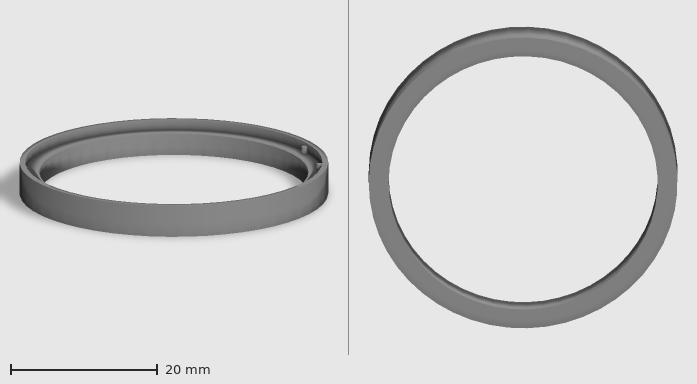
import cadquery as cq

outer_diameter = 42
recess_diameter = 40.4
bore_diameter = 36.6
ring_height = 4.4
ledge_height = 3.0

pin_diameter = 0.85
pin_height = 1.0
pin_circle_radius = 19.82
pin_angles = (30, 55)


def make_ring():
    """Stepped ring: a bore through the ledge and a wider recess above it."""
    ring = cq.Workplane("XY").circle(outer_diameter / 2).circle(bore_diameter / 2).extrude(ring_height)
    recess = (
        cq.Workplane("XY")
        .workplane(offset=ledge_height)
        .circle(recess_diameter / 2)
        .extrude(ring_height - ledge_height)
    )
    return ring.cut(recess)


def make_pin(angle):
    """Upright pin rooted at the bottom of the ring so that it fuses with the ledge."""
    return (
        cq.Workplane("XY")
        .center(pin_circle_radius, 0)
        .circle(pin_diameter / 2)
        .extrude(ledge_height + pin_height)
        .rotate((0, 0, 0), (0, 0, 1), angle)
    )


result = make_ring()
for pin_angle in pin_angles:
    result = result.union(make_pin(pin_angle))